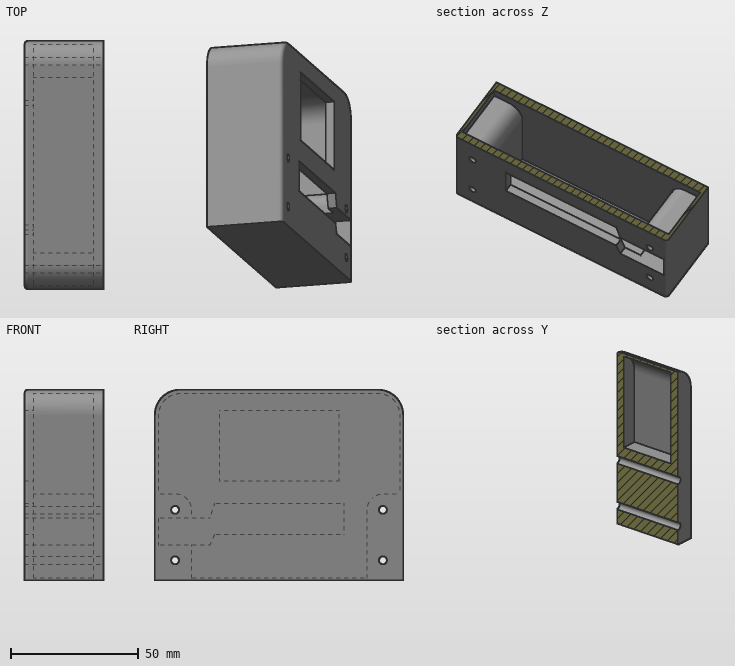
import cadquery as cq

depth = 31.0
width = 97.6
height = 75.0
corner_radius = 10.0
edge_radius = 1.5

front_wall = 3.5
back_wall = 4.0
side_wall = 1.5
floor_thickness = 1.0
cavity_back = depth - back_wall
cavity_depth = cavity_back - front_wall

hole_diameter = 3.0
hole_y = 40.8
lower_hole_z = 7.9
upper_hole_z = 27.7
block_radius = 6.3
block_inner_y = hole_y - block_radius
block_top_z = upper_hole_z + block_radius

window_width = 47.0
window_bottom = 39.2
window_top = 66.9

slot_end_y = 25.5
slot_bottom = 18.1
slot_top = 30.3
step_start_y = -25.4
step_end_y = -27.2
channel_bottom = 14.1
channel_top = 24.7
channel_end_y = side_wall - width / 2


def rounded_profile(x, half_width, bottom, top, radius):
    """Outline in a YZ plane at x, with both upper corners rounded."""
    return (
        cq.Workplane("YZ", origin=(x, 0, 0))
        .moveTo(-half_width, bottom)
        .lineTo(half_width, bottom)
        .lineTo(half_width, top - radius)
        .radiusArc((half_width - radius, top), -radius)
        .lineTo(-half_width + radius, top)
        .radiusArc((-half_width, top - radius), -radius)
        .close()
    )


def make_shell():
    body = rounded_profile(0, width / 2, 0, height, corner_radius).extrude(depth)
    body = body.faces("<X").edges("not <Z").fillet(edge_radius)
    cavity = rounded_profile(
        front_wall,
        width / 2 - side_wall,
        floor_thickness,
        height - side_wall,
        corner_radius - side_wall,
    ).extrude(cavity_depth)
    return body.cut(cavity)


def make_screw_block():
    """Block on the +Y wall; its inner top corner is concentric with the upper hole."""
    outer_y = width / 2 - side_wall / 2
    bottom = floor_thickness / 2
    return (
        cq.Workplane("YZ", origin=(front_wall, 0, 0))
        .moveTo(block_inner_y, bottom)
        .lineTo(block_inner_y, upper_hole_z)
        .radiusArc((hole_y, block_top_z), block_radius)
        .lineTo(outer_y, block_top_z)
        .lineTo(outer_y, bottom)
        .close()
        .extrude(cavity_depth)
    )


def make_window():
    return (
        cq.Workplane("YZ")
        .center(0, (window_bottom + window_top) / 2)
        .rect(window_width, window_top - window_bottom)
        .extrude(front_wall)
    )


def make_slot():
    """Stepped slot, cut to the back of the cavity so it also crosses the -Y block."""
    outline = [
        (slot_end_y, slot_bottom),
        (slot_end_y, slot_top),
        (step_start_y, slot_top),
        (step_end_y, channel_top),
        (channel_end_y, channel_top),
        (channel_end_y, channel_bottom),
        (step_end_y, channel_bottom),
        (step_start_y, slot_bottom),
    ]
    return cq.Workplane("YZ").polyline(outline).close().extrude(cavity_back)


def make_screw_holes():
    centres = [(y, z) for y in (-hole_y, hole_y) for z in (lower_hole_z, upper_hole_z)]
    return cq.Workplane("YZ").pushPoints(centres).circle(hole_diameter / 2).extrude(depth)


screw_block = make_screw_block()
result = make_shell().union(screw_block).union(screw_block.mirror("XZ"))
result = result.cut(make_window()).cut(make_slot()).cut(make_screw_holes())